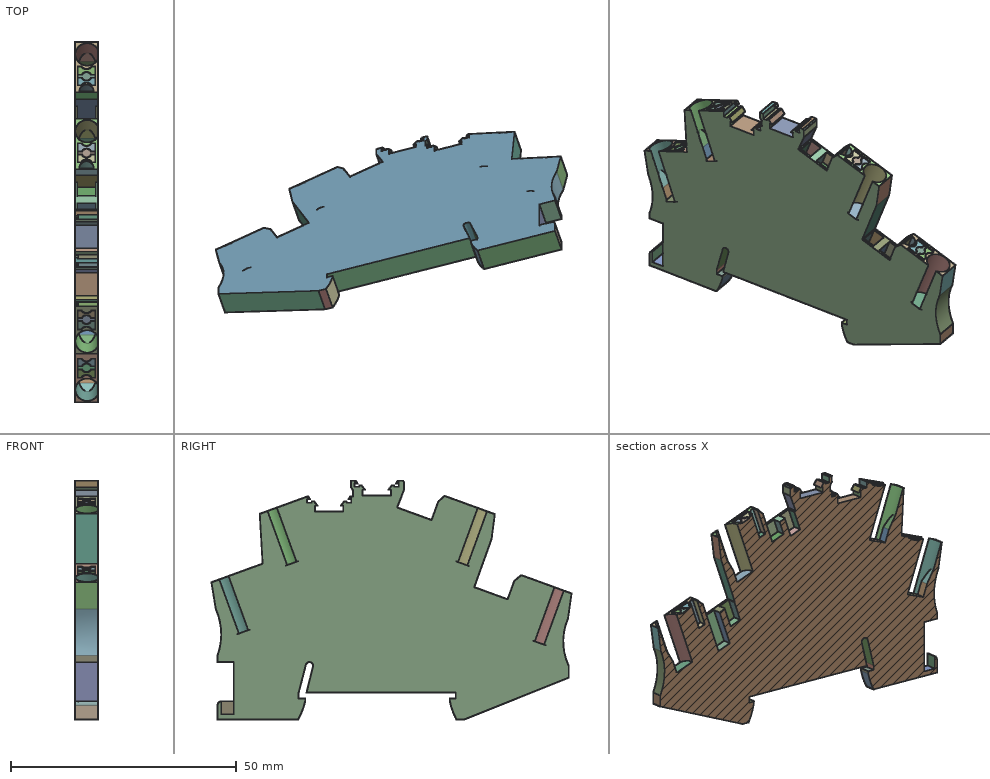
import cadquery as cq
import math

WIDTH = 5.1
HALF_LENGTH = 39.95
HEIGHT = 53.0

TILT_DEGREES = 20.0
TILT_SIN = math.sin(math.radians(TILT_DEGREES))
TILT_COS = math.cos(math.radians(TILT_DEGREES))
TILT_TAN = math.tan(math.radians(TILT_DEGREES))

BACK_LOWER_CORNER = (HALF_LENGTH, 27.95)
BACK_UPPER_CORNER = (22.9, 45.5)
FRONT_LOWER_CORNER = (-HALF_LENGTH, 30.4)
BACK_FACE_SPAN = 11.2
FRONT_LOWER_SPAN = 11.35

RAIL_SEAT_Z = 6.0
RAIL_HOOK_Z = 4.7
LATCH_Y = -38.6
LATCH_NOTCH_Y = -35.0
LATCH_NOTCH_BOTTOM = 4.1
LATCH_NOTCH_TOP = 12.7
LATCH_LIP_RADIUS = 0.95
LATCH_POCKET_FLOOR = 1.2
LATCH_POCKET_WALL = 0.7
LATCH_LIP_THICKNESS = 0.8

BLOCK_WALL_HEIGHT = 4.3

BACK_LOWER_VALLEY = (25.7, 26.7)
BACK_UPPER_VALLEY = (8.9, 44.25)
BACK_LOWER_VALLEY_SPAN = 7.35
BACK_UPPER_VALLEY_SPAN = 7.6
VALLEY_POCKET_WIDTH = 4.0
FIRST_POCKET_LENGTH = 3.3
UPPER_FIRST_POCKET_DEPTH = 3.3
LOWER_FIRST_POCKET_DEPTH = 8.4
SECOND_POCKET_START = 4.95
SECOND_POCKET_LENGTH = 2.7
SECOND_POCKET_DEPTH = 4.8

MARKER_HEIGHT = 3.3
UPPER_MARKER_Y = -3.3
UPPER_MARKER_FLOOR = HEIGHT - MARKER_HEIGHT
LOWER_MARKER_Y = -13.8
LOWER_MARKER_FLOOR = 46.2
MARKER_LEDGE_END = 4.9
MARKER_LEDGE_HEIGHT = 1.9
MARKER_LIP_WIDTH = 0.7
MARKER_LIP_HEIGHT = 2.6
MARKER_LIP_REACH = 0.6
MARKER_LIP_CREST = 0.2

FRONT_UPPER_SPAN = 10.55
FRONT_UPPER_CORNER = (
    LOWER_MARKER_Y - MARKER_LEDGE_END - FRONT_UPPER_SPAN,
    LOWER_MARKER_FLOOR + MARKER_HEIGHT - FRONT_UPPER_SPAN * TILT_TAN,
)

WIRE_HOLE_RADIUS = 2.6
WIRE_HOLE_ALONG = 2.95
WIRE_HOLE_X = 0.15
WIRE_RAMP_DEPTH = 6.15
WIRE_PASSAGE_START = 9.75
WIRE_PASSAGE_DEPTH = 12.8
WIRE_RAMP_RUN = 0.7

BUTTON_ALONG = 8.0
BUTTON_LENGTH = 4.5
BUTTON_WIDTH = 3.8
BUTTON_DEPTH = 0.2
BUTTON_NOTCH_RADIUS = 1.3
BUTTON_NOTCH_PITCH = 2.9
SCREWDRIVER_SLOT_WIDTH = 0.7
SCREWDRIVER_EYE_RADIUS = 1.0
SCREWDRIVER_SLOT_DEPTH = 0.5

TOOL_RECESS_ALONG = 11.7
TOOL_RECESS_RADIUS = 1.6
TOOL_RECESS_DEPTH = 6.4


def marker_side(center_y, floor_z, direction):
    """Points of one side of a marker channel, from its floor up to its rim."""
    steps = [
        (3.1, 0.0),
        (3.1, 1.2),
        (2.55, 1.2),
        (3.35, 2.2),
        (3.8, 2.2),
        (3.9, MARKER_LEDGE_HEIGHT),
        (MARKER_LEDGE_END, MARKER_LEDGE_HEIGHT),
        (MARKER_LEDGE_END, MARKER_HEIGHT),
    ]
    return [(center_y + direction * out, floor_z + up) for out, up in steps]


def marker_channel(center_y, floor_z):
    """Points of a marker channel from its front rim to its back rim."""
    front = marker_side(center_y, floor_z, -1)
    back = marker_side(center_y, floor_z, 1)
    return front[::-1] + back


def block_wall_top(valley):
    """Upper end of the block wall that rises square from a valley floor."""
    return (valley[0] + BLOCK_WALL_HEIGHT * TILT_SIN, valley[1] + BLOCK_WALL_HEIGHT * TILT_COS)


def valley_end(valley, span):
    """Upper end of a valley floor that spans the given distance in Y."""
    return (valley[0] - span, valley[1] + span * TILT_TAN)


def body():
    """Constant side outline, drawn in Y and Z and extruded over the width."""
    latch_lip_z = LATCH_NOTCH_BOTTOM - LATCH_LIP_RADIUS
    lip_arc_offset = LATCH_LIP_RADIUS * (1 - math.sqrt(0.5))
    front_step_y = FRONT_LOWER_CORNER[0] + FRONT_LOWER_SPAN
    front_step_z = FRONT_LOWER_CORNER[1] + FRONT_LOWER_SPAN * TILT_TAN
    back_rise = BACK_FACE_SPAN * TILT_TAN
    upper_crest = (BACK_UPPER_CORNER[0] - BACK_FACE_SPAN, BACK_UPPER_CORNER[1] + back_rise)
    lower_crest = (BACK_LOWER_CORNER[0] - BACK_FACE_SPAN, BACK_LOWER_CORNER[1] + back_rise)

    outline = (
        cq.Workplane("YZ", origin=(-WIDTH / 2, 0, 0))
        .moveTo(16.1, 0)
        .lineTo(14.4, 0)
        .threePointArc((13.4, 2.15), (12.9, 4.3))
        .lineTo(12.9, RAIL_HOOK_Z)
        .lineTo(14.2, RAIL_HOOK_Z)
        .lineTo(14.2, RAIL_SEAT_Z)
        .lineTo(-18.85, RAIL_SEAT_Z)
        .lineTo(-17.4, 11.8)
        .threePointArc((-18.05, 12.7), (-18.9, 12.2))
        .lineTo(-20.6, 5.75)
        .lineTo(-20.6, RAIL_HOOK_Z)
        .lineTo(-19.1, RAIL_HOOK_Z)
        .lineTo(-19.1, 4.15)
        .threePointArc((-19.7, 2.0), (-20.7, 0))
        .lineTo(LATCH_Y, 0)
        .lineTo(LATCH_Y, latch_lip_z)
        .threePointArc(
            (LATCH_Y + lip_arc_offset, LATCH_NOTCH_BOTTOM - lip_arc_offset),
            (LATCH_Y + LATCH_LIP_RADIUS, LATCH_NOTCH_BOTTOM),
        )
        .lineTo(LATCH_NOTCH_Y, LATCH_NOTCH_BOTTOM)
        .lineTo(LATCH_NOTCH_Y, LATCH_NOTCH_TOP)
        .lineTo(LATCH_Y, LATCH_NOTCH_TOP)
        .lineTo(LATCH_Y, 14.2)
        .threePointArc((-37.8, 19.3), (-39.0, 24.5))
        .lineTo(*FRONT_LOWER_CORNER)
        .lineTo(front_step_y, front_step_z)
        .lineTo(*FRONT_UPPER_CORNER)
    )
    for point in marker_channel(LOWER_MARKER_Y, LOWER_MARKER_FLOOR):
        outline = outline.lineTo(*point)
    outline = (
        outline
        .lineTo(-8.55, LOWER_MARKER_FLOOR + MARKER_HEIGHT)
        .lineTo(-8.55, 50.8)
        .lineTo(-9.0, 51.5)
        .lineTo(-9.0, HEIGHT)
    )
    for point in marker_channel(UPPER_MARKER_Y, UPPER_MARKER_FLOOR):
        outline = outline.lineTo(*point)
    return (
        outline
        .lineTo(2.5, HEIGHT)
        .lineTo(2.8, 52.65)
        .lineTo(2.8, 50.9)
        .lineTo(*valley_end(BACK_UPPER_VALLEY, BACK_UPPER_VALLEY_SPAN))
        .lineTo(*BACK_UPPER_VALLEY)
        .lineTo(*block_wall_top(BACK_UPPER_VALLEY))
        .lineTo(*upper_crest)
        .lineTo(*BACK_UPPER_CORNER)
        .lineTo(22.2, 40.0)
        .lineTo(*valley_end(BACK_LOWER_VALLEY, BACK_LOWER_VALLEY_SPAN))
        .lineTo(*BACK_LOWER_VALLEY)
        .lineTo(*block_wall_top(BACK_LOWER_VALLEY))
        .lineTo(*lower_crest)
        .lineTo(*BACK_LOWER_CORNER)
        .lineTo(39.15, 22.4)
        .threePointArc((38.1, 17.2), (39.3, 11.9))
        .lineTo(39.3, 9.3)
        .close()
        .extrude(WIDTH)
    )


def marker_lips(center_y, floor_z):
    """Short hooked lips above both ledges of a marker channel, at the -X end."""
    lips = cq.Workplane("YZ")
    for direction in (-1, 1):
        wall_y = center_y + direction * MARKER_LEDGE_END
        lip = (
            cq.Workplane("YZ", origin=(-WIDTH / 2, 0, 0))
            .moveTo(wall_y + direction * MARKER_LIP_CREST, floor_z + MARKER_LIP_HEIGHT)
            .lineTo(wall_y - direction * MARKER_LIP_REACH, floor_z + MARKER_LIP_HEIGHT)
            .lineTo(wall_y - direction * MARKER_LIP_CREST, floor_z + MARKER_HEIGHT)
            .lineTo(wall_y, floor_z + MARKER_HEIGHT)
            .close()
            .extrude(MARKER_LIP_WIDTH)
        )
        lips = lips.add(lip)
    return lips.combine()


def tilted_plane(corner):
    """Plane on a back face: local x runs inward along it, local y is +X, local z points out."""
    return cq.Workplane(
        cq.Plane(
            origin=(0, corner[0], corner[1]),
            xDir=(0, -TILT_COS, TILT_SIN),
            normal=(0, TILT_SIN, TILT_COS),
        )
    )


def wire_hole(face):
    """Round hole with a steep ramp that narrows it to a D-shaped passage."""
    outer = WIRE_HOLE_ALONG - WIRE_HOLE_RADIUS
    inner = WIRE_HOLE_ALONG + WIRE_HOLE_RADIUS
    passage = outer + WIRE_RAMP_RUN
    bore = face.center(WIRE_HOLE_ALONG, WIRE_HOLE_X).circle(WIRE_HOLE_RADIUS).extrude(-WIRE_PASSAGE_DEPTH)
    profile = (
        face.transformed(rotate=(90, 0, 0))
        .moveTo(outer, 0)
        .lineTo(outer, -WIRE_RAMP_DEPTH)
        .lineTo(passage, -WIRE_PASSAGE_START)
        .lineTo(passage, -WIRE_PASSAGE_DEPTH)
        .lineTo(inner, -WIRE_PASSAGE_DEPTH)
        .lineTo(inner, 0)
        .close()
        .extrude(WIDTH, both=True)
    )
    return bore.intersect(profile)


def button_recess(face):
    """Shallow waisted recess with a deeper screwdriver slot and round eye across its middle."""
    center = face.center(BUTTON_ALONG, 0)
    recess = center.rect(BUTTON_LENGTH, BUTTON_WIDTH).extrude(-BUTTON_DEPTH)
    notches = (
        center.pushPoints([(-BUTTON_NOTCH_PITCH, 0), (BUTTON_NOTCH_PITCH, 0)])
        .circle(BUTTON_NOTCH_RADIUS)
        .extrude(-BUTTON_DEPTH)
    )
    slot = center.rect(SCREWDRIVER_SLOT_WIDTH, BUTTON_WIDTH).extrude(-SCREWDRIVER_SLOT_DEPTH)
    eye = center.circle(SCREWDRIVER_EYE_RADIUS).extrude(-SCREWDRIVER_SLOT_DEPTH)
    return recess.cut(notches).union(slot).union(eye)


def tool_recess(face):
    """Half-round blind recess with its flat side towards the block's crest."""
    return (
        face.moveTo(TOOL_RECESS_ALONG, -TOOL_RECESS_RADIUS)
        .threePointArc(
            (TOOL_RECESS_ALONG - TOOL_RECESS_RADIUS, 0),
            (TOOL_RECESS_ALONG, TOOL_RECESS_RADIUS),
        )
        .close()
        .extrude(-TOOL_RECESS_DEPTH)
    )


def valley_pocket(floor, start, length, depth):
    """Rectangular pocket sunk square to a valley floor."""
    return floor.center(start + length / 2, 0).rect(length, VALLEY_POCKET_WIDTH).extrude(-depth)


def latch_pocket():
    """Pocket behind the latch lip, closed at the -X side and open at the +X side."""
    length = LATCH_NOTCH_Y - LATCH_Y - LATCH_LIP_THICKNESS
    return cq.Workplane("XY").box(
        WIDTH - LATCH_POCKET_WALL,
        length,
        LATCH_NOTCH_BOTTOM - LATCH_POCKET_FLOOR,
        centered=False,
    ).translate((LATCH_POCKET_WALL - WIDTH / 2, LATCH_NOTCH_Y - length, LATCH_POCKET_FLOOR))


result = body().cut(latch_pocket())

for marker in ((UPPER_MARKER_Y, UPPER_MARKER_FLOOR), (LOWER_MARKER_Y, LOWER_MARKER_FLOOR)):
    result = result.union(marker_lips(*marker))

for corner in (BACK_LOWER_CORNER, BACK_UPPER_CORNER):
    block_face = tilted_plane(corner)
    result = result.cut(wire_hole(block_face))
    result = result.cut(button_recess(block_face))
    result = result.cut(tool_recess(block_face))

for corner_y, corner_z in (FRONT_LOWER_CORNER, FRONT_UPPER_CORNER):
    block_face = tilted_plane((-corner_y, corner_z))
    result = result.cut(wire_hole(block_face).mirror("XZ"))
    result = result.cut(button_recess(block_face).mirror("XZ"))

for valley, first_depth in (
    (BACK_LOWER_VALLEY, LOWER_FIRST_POCKET_DEPTH),
    (BACK_UPPER_VALLEY, UPPER_FIRST_POCKET_DEPTH),
):
    valley_floor = tilted_plane(valley)
    result = result.cut(valley_pocket(valley_floor, 0, FIRST_POCKET_LENGTH, first_depth))
    result = result.cut(
        valley_pocket(valley_floor, SECOND_POCKET_START, SECOND_POCKET_LENGTH, SECOND_POCKET_DEPTH)
    )